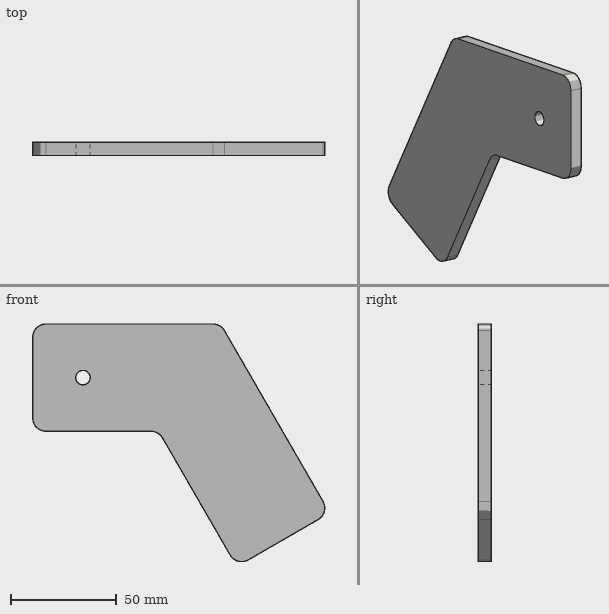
import cadquery as cq
import math

thickness = 6.35
arm_width = 50.8
top_edge_length = 88.9
outer_leg_length = 103.19
bend_angle = 60.0
corner_radius = 6.35
hole_diameter = 6.73
hole_from_left = 23.8

bend = math.radians(bend_angle)
along_x, along_z = math.cos(bend), -math.sin(bend)
across_x, across_z = -math.sin(bend), -math.cos(bend)

outer_bend = (top_edge_length, arm_width)
inner_bend = (top_edge_length - arm_width * math.tan(bend / 2), 0)
leg_end_outer = (
    outer_bend[0] + outer_leg_length * along_x,
    outer_bend[1] + outer_leg_length * along_z,
)
leg_end_inner = (
    leg_end_outer[0] + arm_width * across_x,
    leg_end_outer[1] + arm_width * across_z,
)


def bent_plate():
    """Flat bent plate with every corner rounded, thickness along +Y."""
    corners = [(0, 0), (0, arm_width), outer_bend, leg_end_outer, leg_end_inner, inner_bend]
    plate = cq.Workplane("XZ").polyline(corners).close().extrude(-thickness)
    return plate.edges("|Y").fillet(corner_radius)


def mounting_hole():
    """Through-hole cutter on the centreline of the horizontal arm."""
    return (
        cq.Workplane("XZ")
        .center(hole_from_left, arm_width / 2)
        .circle(hole_diameter / 2)
        .extrude(-thickness)
    )


result = bent_plate().cut(mounting_hole())